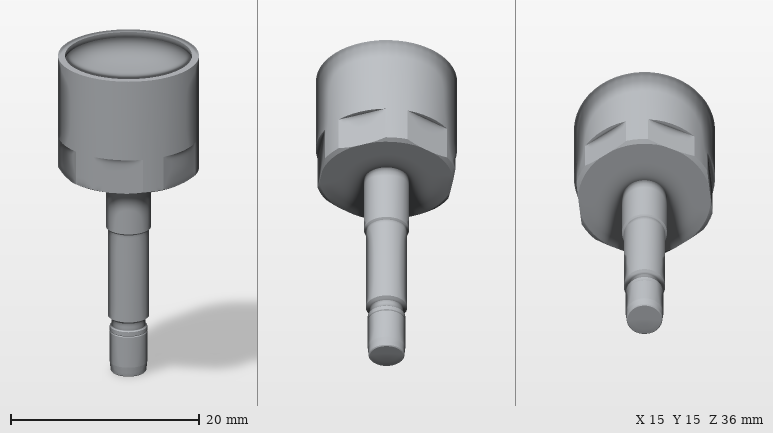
import cadquery as cq
import math

TOTAL_HEIGHT = 36.0
HEAD_HEIGHT = 13.0
HEX_HEIGHT = 4.0
COLLAR_LENGTH = 6.7
SHOULDER_Z = 6.35
NECK_LENGTH = 0.8
RING_LENGTH = 0.55
TIP_TAPER_HEIGHT = 1.1

HEAD_DIAMETER = 15.0
RECESS_DIAMETER = 13.5
COLLAR_DIAMETER = 4.8
SHAFT_DIAMETER = 4.4
PLUG_DIAMETER = 4.0
NECK_DIAMETER = 3.6
TIP_DIAMETER = 3.8

RECESS_DEPTH = 0.6
ACROSS_FLATS = 14.0
FLAT_COUNT = 6
HEAD_CHAMFER_WIDTH = 0.45
HEAD_CHAMFER_ANGLE = 30.0

SHOULDER_CHAMFER_HEIGHT = 0.3
RING_CHAMFER = 0.1
GROOVE_DEPTH = 0.08
TIP_CHAMFER = 0.1

HEAD_RADIUS = HEAD_DIAMETER / 2
HEAD_BOTTOM_Z = TOTAL_HEIGHT - HEAD_HEIGHT
COLLAR_BOTTOM_Z = HEAD_BOTTOM_Z - COLLAR_LENGTH
HEAD_CHAMFER_HEIGHT = HEAD_CHAMFER_WIDTH * math.tan(math.radians(HEAD_CHAMFER_ANGLE))


def make_head():
    """Cylindrical head with a beveled lower rim and a shallow recess in its top face."""
    bevel_z = HEAD_BOTTOM_Z + HEAD_CHAMFER_HEIGHT
    recess_radius = RECESS_DIAMETER / 2
    recess_z = TOTAL_HEIGHT - RECESS_DEPTH
    profile = [
        (0, HEAD_BOTTOM_Z),
        (HEAD_RADIUS - HEAD_CHAMFER_WIDTH, HEAD_BOTTOM_Z),
        (HEAD_RADIUS, bevel_z),
        (HEAD_RADIUS, TOTAL_HEIGHT),
        (recess_radius, TOTAL_HEIGHT),
        (recess_radius, recess_z),
        (0, recess_z),
    ]
    return revolve_profile(profile)


def make_stem():
    """Stepped stem: collar, shaft, neck, snap ring, V groove and tapered plug tip."""
    collar_radius = COLLAR_DIAMETER / 2
    shaft_radius = SHAFT_DIAMETER / 2
    collar_chamfer = collar_radius - shaft_radius
    plug_radius = PLUG_DIAMETER / 2
    neck_radius = NECK_DIAMETER / 2
    tip_radius = TIP_DIAMETER / 2
    neck_top_z = SHOULDER_Z - SHOULDER_CHAMFER_HEIGHT
    ring_top_z = neck_top_z - NECK_LENGTH
    groove_top_z = ring_top_z - RING_LENGTH
    profile = [
        (0, 0),
        (tip_radius - TIP_CHAMFER, 0),
        (tip_radius, TIP_CHAMFER),
        (plug_radius, TIP_TAPER_HEIGHT),
        (plug_radius, groove_top_z - 2 * GROOVE_DEPTH),
        (plug_radius - GROOVE_DEPTH, groove_top_z - GROOVE_DEPTH),
        (plug_radius, groove_top_z),
        (plug_radius, ring_top_z - RING_CHAMFER),
        (plug_radius - RING_CHAMFER, ring_top_z),
        (neck_radius, ring_top_z),
        (neck_radius, neck_top_z),
        (shaft_radius, SHOULDER_Z),
        (shaft_radius, COLLAR_BOTTOM_Z),
        (collar_radius, COLLAR_BOTTOM_Z + collar_chamfer),
        (collar_radius, HEAD_BOTTOM_Z),
        (0, HEAD_BOTTOM_Z),
    ]
    return revolve_profile(profile)


def revolve_profile(points):
    """Turn a closed (radius, height) outline around the Z axis."""
    return cq.Workplane("XZ").polyline(points).close().revolve(360, (0, 0), (0, 1))


def cut_wrench_flats(head):
    """Trim the lower part of the head to a hexagon with two flats facing along Y."""
    hexagon_diameter = ACROSS_FLATS / math.cos(math.pi / FLAT_COUNT)
    trim = (
        cq.Workplane("XY", origin=(0, 0, HEAD_BOTTOM_Z))
        .circle(HEAD_DIAMETER)
        .polygon(FLAT_COUNT, hexagon_diameter)
        .extrude(HEX_HEIGHT)
    )
    return head.cut(trim)


result = cut_wrench_flats(make_head()).union(make_stem())